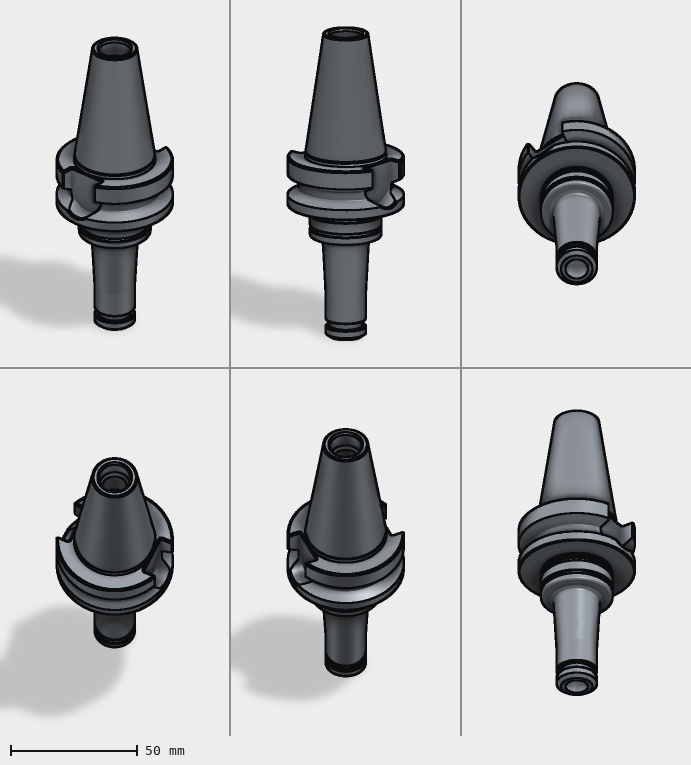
import cadquery as cq
import math

total_height = 124.4
flange_diameter = 46.0

taper_ratio = 7 / 24
gauge_z = 76.0
taper_base_radius = 15.9
taper_tip_chamfer = 0.5
relief_radius = 15.5
relief_z = 75.1
relief_foot_radius = 16.2
relief_arc_radius = 1.2

flange_top_z = 74.0
flange_bottom_z = 54.0
flange_edge_chamfer = 0.6
flange_bottom_chamfer = 0.4
v_groove_radius = 18.7
v_groove_center_z = 62.5
v_groove_floor_width = 3.5
v_groove_floor_fillet = 0.6
v_groove_angle = 30.0

sleeve_diameter = 28.5
sleeve_bottom_z = 41.2
sleeve_fillet = 1.0
ring_groove_centers = (45.0, 51.0)
ring_groove_half_width = 0.56
ring_groove_rim = 0.31
ring_groove_depth = 0.9
relief_groove_z = 53.6
relief_groove_depth = 0.6

nose_diameter = 16.0
nose_top_radius = 9.2
nose_fillet = 1.9
nose_cone_bottom_z = 17.2
clip_groove_diameter = 13.0
clip_groove_top_z = 7.0
clip_groove_bottom_z = 4.4
clip_groove_chamfer = 0.4
tip_chamfer_height = 1.4
tip_radius = 6.2

through_diameter = 9.0
step_diameter = 10.0
bore_diameter = 12.5
bore_mouth_diameter = 13.7
bore_mouth_depth = 1.0
bore_depth = 7.0
step_depth = 18.7

slot_width = 16.0
slot_flat_y = 16.3
slot_center_z = 65.2
slot_corner_fillet = 0.5

cut_clearance = 1.2
tolerance = 0.01

taper_slope = taper_ratio / 2
flange_radius = flange_diameter / 2
flange_height = flange_top_z - flange_bottom_z
sleeve_radius = sleeve_diameter / 2
nose_radius = nose_diameter / 2
clip_groove_radius = clip_groove_diameter / 2


def turned_body():
    tip_top_radius = taper_base_radius - taper_slope * (total_height - gauge_z)
    outline = (
        cq.Workplane("XZ")
        .moveTo(0, 0)
        .lineTo(tip_radius, 0)
        .lineTo(nose_radius, tip_chamfer_height)
        .lineTo(nose_radius, clip_groove_bottom_z - clip_groove_chamfer)
        .lineTo(nose_radius - clip_groove_chamfer, clip_groove_bottom_z)
        .lineTo(clip_groove_radius, clip_groove_bottom_z)
        .lineTo(clip_groove_radius, clip_groove_top_z)
        .lineTo(nose_radius - clip_groove_chamfer, clip_groove_top_z)
        .lineTo(nose_radius, clip_groove_top_z + clip_groove_chamfer)
        .lineTo(nose_radius, nose_cone_bottom_z)
        .lineTo(nose_top_radius, sleeve_bottom_z - nose_fillet)
        .radiusArc((nose_top_radius + nose_fillet, sleeve_bottom_z), nose_fillet)
        .lineTo(sleeve_radius - sleeve_fillet, sleeve_bottom_z)
        .radiusArc((sleeve_radius, sleeve_bottom_z + sleeve_fillet), -sleeve_fillet)
        .lineTo(sleeve_radius, flange_bottom_z)
        .lineTo(relief_foot_radius, flange_bottom_z)
        .lineTo(relief_foot_radius, flange_top_z)
        .radiusArc((relief_radius, relief_z), relief_arc_radius)
        .lineTo(taper_base_radius, gauge_z)
        .lineTo(tip_top_radius + taper_slope * taper_tip_chamfer, total_height - taper_tip_chamfer)
        .lineTo(tip_top_radius - taper_tip_chamfer, total_height)
        .lineTo(0, total_height)
        .close()
    )
    return outline.revolve(360, (0, 0, 0), (0, 1, 0))


def v_groove():
    half_floor = v_groove_floor_width / 2
    flank_height = (flange_radius - v_groove_radius) * math.tan(math.radians(v_groove_angle))
    return (
        cq.Workplane("XZ")
        .moveTo(v_groove_radius, v_groove_center_z - half_floor)
        .lineTo(flange_radius, v_groove_center_z - half_floor - flank_height)
        .lineTo(flange_radius, v_groove_center_z + half_floor + flank_height)
        .lineTo(v_groove_radius, v_groove_center_z + half_floor)
        .close()
        .revolve(360, (0, 0, 0), (0, 1, 0))
        .edges(cq.selectors.RadiusNthSelector(0))
        .fillet(v_groove_floor_fillet)
    )


def ring_groove(center_z, depth):
    """Round-bottomed groove around the sleeve with chamfered rims."""
    rim_half_width = ring_groove_half_width + ring_groove_rim
    rim_radius = sleeve_radius - ring_groove_rim
    return (
        cq.Workplane("XZ")
        .moveTo(sleeve_radius, center_z - rim_half_width)
        .lineTo(rim_radius, center_z - ring_groove_half_width)
        .threePointArc((sleeve_radius - depth, center_z), (rim_radius, center_z + ring_groove_half_width))
        .lineTo(sleeve_radius, center_z + rim_half_width)
        .close()
        .revolve(360, (0, 0, 0), (0, 1, 0))
    )


def plain_disc():
    return cq.Workplane("XY", origin=(0, 0, flange_bottom_z)).circle(flange_radius).extrude(flange_height)


def top_relief_groove():
    """Shallower ring groove that runs into the underside of the flange."""
    return ring_groove(relief_groove_z, relief_groove_depth).cut(plain_disc())


def stepped_bore():
    cone_z = total_height - bore_depth
    cone_end_z = cone_z - (bore_diameter - step_diameter) / 2
    step_z = total_height - step_depth
    through_z = step_z - (step_diameter - through_diameter) / 2
    return (
        cq.Workplane("XZ")
        .moveTo(0, 0)
        .lineTo(through_diameter / 2, 0)
        .lineTo(through_diameter / 2, through_z)
        .lineTo(step_diameter / 2, step_z)
        .lineTo(step_diameter / 2, cone_end_z)
        .lineTo(bore_diameter / 2, cone_z)
        .lineTo(bore_diameter / 2, total_height - bore_mouth_depth)
        .lineTo(bore_mouth_diameter / 2, total_height)
        .lineTo(0, total_height)
        .close()
        .revolve(360, (0, 0, 0), (0, 1, 0))
    )


def drive_slot():
    half = slot_width / 2
    slot_top_z = flange_top_z + cut_clearance
    return (
        cq.Workplane("XZ", origin=(0, -slot_flat_y, 0))
        .moveTo(-half, slot_top_z)
        .lineTo(-half, slot_center_z)
        .threePointArc((0, slot_center_z - half), (half, slot_center_z))
        .lineTo(half, slot_top_z)
        .close()
        .extrude(flange_radius)
        .faces(">Y")
        .edges()
        .fillet(slot_corner_fillet)
    )


def is_outer_edge(edge):
    """True for edges that reach the upper rim: the top circle and the outer edges of the slots."""
    box = edge.BoundingBox()
    reach = max(math.hypot(vertex.X, vertex.Y) for vertex in edge.Vertices())
    on_rim = reach > flange_radius - tolerance
    above_bottom = box.zmin > flange_bottom_z + flange_bottom_chamfer + tolerance
    on_wall_seam = box.zmax < slot_center_z + tolerance and box.zmin > slot_center_z - tolerance
    return on_rim and above_bottom and not on_wall_seam


def flange():
    disc = plain_disc().faces("<Z").edges().chamfer(flange_bottom_chamfer)
    for angle in (0, 180):
        disc = disc.cut(drive_slot().rotate((0, 0, 0), (0, 0, 1), angle))
    outer_edges = [edge for edge in disc.edges().vals() if is_outer_edge(edge)]
    disc = disc.newObject(outer_edges).chamfer(flange_edge_chamfer)
    return disc.cut(v_groove())


body = turned_body().union(flange()).cut(stepped_bore()).cut(top_relief_groove())
for groove_z in ring_groove_centers:
    body = body.cut(ring_groove(groove_z, ring_groove_depth))

result = body